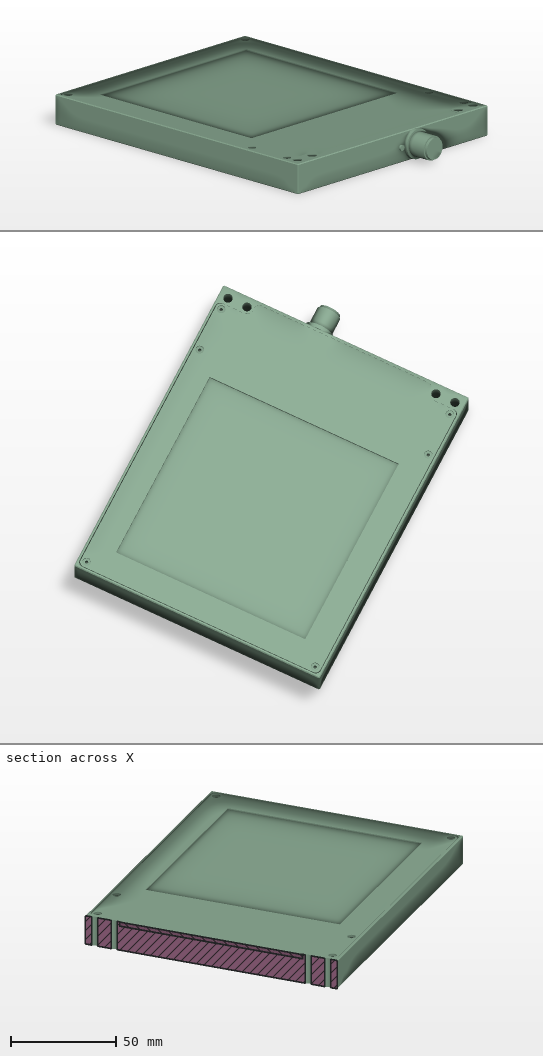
import cadquery as cq
OVERALL_LENGTH = 173.0

HOUSING_LENGTH = 160.0
HOUSING_WIDTH = 130.0
HOUSING_HEIGHT = 15.0
EDGE_CHAMFER = 0.43
RIGHT_FACE = HOUSING_LENGTH / 2

MOUNT_HOLE_DIAMETER = 4.5
MOUNT_HOLE_INSET = 5.2
MOUNT_HOLE_X = RIGHT_FACE - MOUNT_HOLE_INSET
MOUNT_HOLE_OUTER_Y = 60.0
MOUNT_HOLE_INNER_Y = 50.0

LID_THICKNESS = 2.0
LID_DROP = 0.2
LID_TOP = HOUSING_HEIGHT - LID_DROP
LID_BOTTOM = LID_TOP - LID_THICKNESS
RECESS_DEPTH = HOUSING_HEIGHT - LID_BOTTOM
RECESS_RIM = 1.2
LID_RIM = 1.5
PLATE_CORNER_RADIUS = 2.6
LID_RIGHT_RIM = 1.5
LID_RIGHT = RIGHT_FACE - LID_RIGHT_RIM

NOTCH_RADIUS = 3.5
NOTCH_X = MOUNT_HOLE_X - NOTCH_RADIUS
NOTCH_Y = MOUNT_HOLE_INNER_Y - NOTCH_RADIUS
TONGUE_CORNER_RADIUS = 2.0

SCREW_HEAD_DIAMETER = 4.0
SCREW_HOLE_DIAMETER = 1.57
SCREW_HEAD_DEPTH = 0.5
SCREW_EDGE_INSET = 4.5
SCREW_LEFT_X = SCREW_EDGE_INSET - RIGHT_FACE
SCREW_MIDDLE_X = SCREW_LEFT_X + 121.0
SCREW_RIGHT_X = SCREW_LEFT_X + 144.0
SCREW_Y = HOUSING_WIDTH / 2 - SCREW_EDGE_INSET

WINDOW_SIZE = 100.0
WINDOW_DROP = 0.9
WINDOW_X = (SCREW_LEFT_X + SCREW_MIDDLE_X) / 2

CONNECTOR_Y = 15.0
CONNECTOR_Z = HOUSING_HEIGHT / 2
FLANGE_DIAMETER = 14.9
FLANGE_LENGTH = 1.9
BARREL_DIAMETER = 12.1
BARREL_LENGTH = 9.7
TIP_DIAMETER = 10.7
TIP_LENGTH = OVERALL_LENGTH - HOUSING_LENGTH - FLANGE_LENGTH - BARREL_LENGTH

LAMP_DIAMETER = 2.8
LAMP_LENGTH = 1.2
LAMP_Y = 5.4


def plate_block(left, right, half_width, thickness):
    """A rectangular block standing on the recess floor, symmetric about the X axis."""
    return (
        cq.Workplane("XY", origin=((left + right) / 2, 0, LID_BOTTOM))
        .rect(right - left, 2 * half_width)
        .extrude(thickness)
    )


def notched_plate(rim, thickness):
    """A plate inside the housing rim, narrowed at the +X end to pass between the mounting holes."""
    half_width = HOUSING_WIDTH / 2 - rim
    plate = plate_block(rim - RIGHT_FACE, NOTCH_X, half_width, thickness)
    plate = plate.edges("|Z").fillet(PLATE_CORNER_RADIUS)
    tongue = plate_block(NOTCH_X, LID_RIGHT, NOTCH_Y, thickness)
    plate = plate.union(tongue.edges("|Z and >X").fillet(TONGUE_CORNER_RADIUS))
    for y in (-NOTCH_Y, NOTCH_Y):
        inner_corner = cq.selectors.NearestToPointSelector((NOTCH_X, y, LID_BOTTOM + thickness / 2))
        plate = plate.edges("|Z").edges(inner_corner).fillet(NOTCH_RADIUS)
    return plate


def build_housing():
    block = (
        cq.Workplane("XY")
        .box(HOUSING_LENGTH, HOUSING_WIDTH, HOUSING_HEIGHT, centered=(True, True, False))
        .edges()
        .chamfer(EDGE_CHAMFER)
    )
    mount_points = [
        (MOUNT_HOLE_X, side * y)
        for side in (-1, 1)
        for y in (MOUNT_HOLE_OUTER_Y, MOUNT_HOLE_INNER_Y)
    ]
    mount_holes = (
        cq.Workplane("XY")
        .pushPoints(mount_points)
        .circle(MOUNT_HOLE_DIAMETER / 2)
        .extrude(HOUSING_HEIGHT)
    )
    recess = notched_plate(RECESS_RIM, RECESS_DEPTH)
    return block.cut(mount_holes).cut(recess)


def window_block(thickness):
    """A square block of the window outline, standing on the recess floor."""
    return (
        cq.Workplane("XY", origin=(WINDOW_X, 0, LID_BOTTOM))
        .rect(WINDOW_SIZE, WINDOW_SIZE)
        .extrude(thickness)
    )


def build_lid():
    screw_points = [
        (x, side * SCREW_Y)
        for side in (-1, 1)
        for x in (SCREW_LEFT_X, SCREW_MIDDLE_X, SCREW_RIGHT_X)
    ]
    return (
        notched_plate(LID_RIM, LID_THICKNESS)
        .cut(window_block(LID_THICKNESS))
        .copyWorkplane(cq.Workplane("XY", origin=(0, 0, LID_TOP)))
        .pushPoints(screw_points)
        .cboreHole(SCREW_HOLE_DIAMETER, SCREW_HEAD_DIAMETER, SCREW_HEAD_DEPTH, LID_THICKNESS)
    )


def build_window():
    return window_block(LID_THICKNESS - WINDOW_DROP)


def round_bar(start_x, y, diameter, length):
    """A cylinder along +X at the height of the connector axis."""
    return cq.Workplane("YZ", origin=(start_x, y, CONNECTOR_Z)).circle(diameter / 2).extrude(length)


def build_connector():
    barrel_start = RIGHT_FACE + FLANGE_LENGTH
    tip_start = barrel_start + BARREL_LENGTH
    flange = round_bar(RIGHT_FACE, CONNECTOR_Y, FLANGE_DIAMETER, FLANGE_LENGTH)
    barrel = round_bar(barrel_start, CONNECTOR_Y, BARREL_DIAMETER, BARREL_LENGTH)
    tip = round_bar(tip_start, CONNECTOR_Y, TIP_DIAMETER, TIP_LENGTH)
    return flange.union(barrel).union(tip)


def build_lamp():
    return round_bar(RIGHT_FACE, LAMP_Y, LAMP_DIAMETER, LAMP_LENGTH)


housing = build_housing()
lid = build_lid()
window = build_window()
connector = build_connector()
lamp = build_lamp()

bodies = [housing, lid, window, connector, lamp]
result = cq.Compound.makeCompound([body.solids().val() for body in bodies])